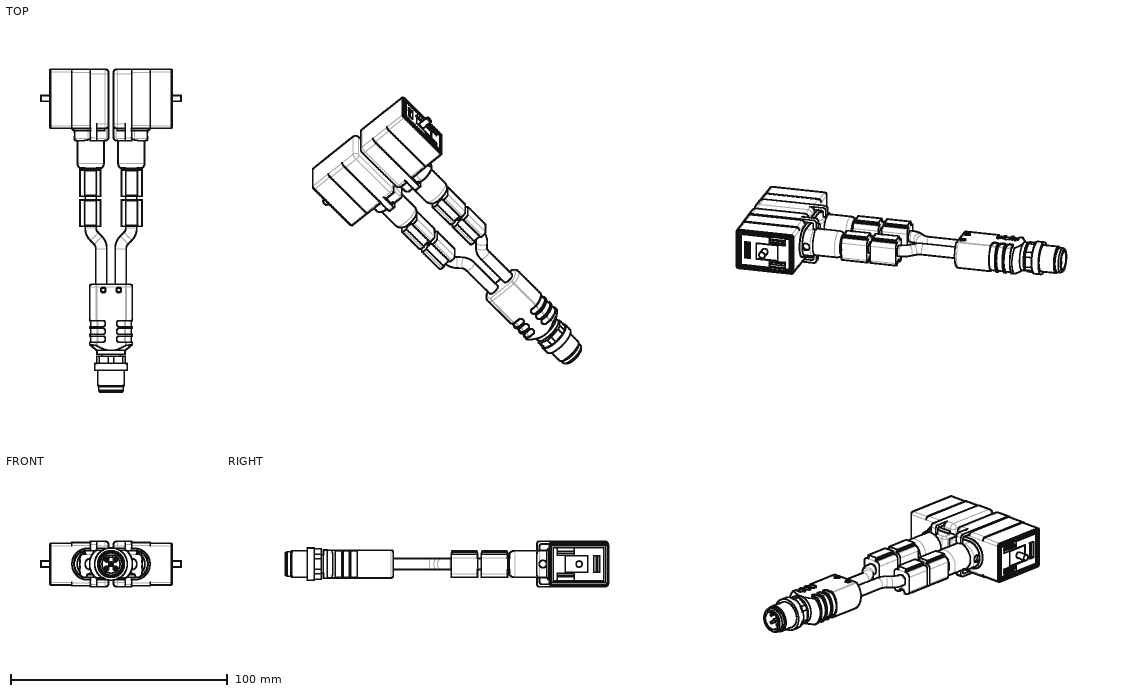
import cadquery as cq
import math


total_length = 149.0
total_width = 64.6
total_height = 21.1

plug_outer_x = -28.1
plug_inner_x = -1.0
mid_section_x = -18.2
flange_x = -9.5
end_section_height = 19.4
mid_section_height = 20.1
housing_front_y = 121.5
end_section_round = 1.2
mid_section_round = 1.5
inner_section_round = 2.1
inner_face_round = 1.8
face_edge_chamfer = 0.5

branch_x = -9.4
hook_front_y = 115.9
hook_inner_x = -6.5
hook_thickness = 1.3
window_round = 0.9
hook_round = 1.3
collar_x = -10.7
collar_diameter = 12.5
collar_corner_round = 1.8
collar_front_round = 1.0
flare_size = 1.0
flare_edge = 0.1
collar_hole_diameter = 3.5
collar_hole_y = 118.7
collar_hole_depth = 1.3
sleeve_diameter = 12.4
sleeve_front_y = 103.2
sleeve_nose_length = 2.4
sleeve_nose_step = 1.2

pin_diameter = 2.8
pin_y = 135.4
panel_back_y = 146.7
panel_front_y = 123.5
panel_height = 15.2
gasket_width = 0.9
gasket_depth = 0.5
square_back_y = 139.4
square_front_y = 129.0
square_height = 7.7
square_depth = 0.6
slot_depth = 1.8
contact_drop = 0.5
ground_slot_y = 143.6
ground_slot_width = 2.7
ground_contact_width = 0.7
side_slot_back_y = 133.2
side_slot_front_y = 125.4
side_slot_inner_z = 4.2
side_slot_outer_z = 7.6
side_contact_inner_z = 5.0
side_contact_outer_z = 6.0

clip_x = -9.5
clip_width = 9.5
clip_height = 12.4
clip_length = 12.2
clip_front_ys = (90.3, 76.4)
clip_shoulder_z = 4.6
clip_shoulder_round = 1.8
clip_cap_width = 5.4
clip_cap_slope = 0.5
clip_groove_depth = 0.5
clip_groove_top_z = 5.4
clip_foot_round = 1.8
clip_mouth_radius = 1.8
clip_mouth_top_z = -4.3

cable_diameter = 5.2
cable_end_x = -4.5
cable_embed = 1.5
bend_start_y = 75.7
bend_radius = 5.5
bend_angle = math.radians(45)

body_width = 19.8
body_height = 13.0
body_flat_width = 13.7
body_back_y = 49.7
body_back_round = 1.2
body_corner_round = 0.6
body_shoulder_y = 21.9
body_front_y = 19.2
neck_diameter = 13.1
neck_front_y = 17.5
grip_top_y = 31.6
grip_pitch = 3.6
grip_count = 3
grip_width = 2.8
grip_depth = 0.5
grip_inner_x = 2.7
grip_corner_round = 1.2
lamp_x = 3.6
lamp_y = 47.0
lamp_hole_diameter = 2.5
lamp_diameter = 2.0
lamp_hole_depth = 0.7
lamp_drop = 0.1

throat_diameter = 8.6
nut_back_y = 16.5
nut_front_y = 13.3
nut_across_flats = 13.3
nut_corner_diameter = 14.1
ring_diameter = 15.0
ring_front_y = 10.0
barrel_diameter = 12.4
barrel_front_y = 3.0
tip_diameter = 11.5
groove_diameter = 10.9
groove_front_y = 2.5
tip_chamfer = 0.6
tip_chamfer_y = 0.9
bore_diameter = 8.3
bore_depth = 7.5
contact_pin_diameter = 1.0
contact_pin_circle_radius = 2.7
contact_pin_tip_y = 1.5
contact_pin_count = 4
pin_foot_diameter = 2.0
pin_foot_height = 0.7
key_width = 1.5
key_height = 1.0
key_root = 0.5
key_tip_y = 0.5


def block(x0, x1, y0, y1, z0, z1):
    """Box between two opposite corners."""
    return cq.Workplane("XY").box(x1 - x0, y1 - y0, z1 - z0, centered=False).translate((x0, y0, z0))


def flat_block(x0, x1, y0, y1, height):
    """Box centred on z = 0."""
    return block(x0, x1, y0, y1, -height / 2, height / 2)


def rod(diameter, y0, y1, x=0.0, z=0.0):
    """Cylinder along Y."""
    return cq.Workplane("XZ", origin=(x, y1, z)).circle(diameter / 2).extrude(y1 - y0)


def both_sides_z(shape):
    """Shape joined with its mirror image below z = 0."""
    return shape.union(shape.mirror("XY"))


def make_housing():
    outer = flat_block(plug_outer_x, mid_section_x, housing_front_y, total_length, end_section_height)
    outer = outer.edges("|X").fillet(end_section_round).faces("<X").chamfer(face_edge_chamfer)
    middle = flat_block(mid_section_x, flange_x, housing_front_y, total_length, mid_section_height)
    middle = middle.edges("|X").fillet(mid_section_round)
    inner = flat_block(flange_x, plug_inner_x, housing_front_y, total_length, total_height)
    inner = inner.edges("|X").fillet(inner_section_round)
    inner = inner.faces(">X").edges().fillet(inner_face_round)
    return outer.union(middle).union(inner)


def make_hooks():
    """Two L-shaped hooks that reach forward from the housing and down to the collar block."""
    top_z = total_height / 2
    collar_z = collar_diameter / 2
    root_y = housing_front_y + 2 * inner_section_round
    hook = block(flange_x, hook_inner_x, hook_front_y, root_y, collar_z - hook_thickness, top_z)
    hook = hook.edges("|X and >Z and <Y").fillet(hook_round)
    window = block(
        flange_x, hook_inner_x, hook_front_y + hook_thickness, housing_front_y,
        collar_z, top_z - hook_thickness,
    )
    window = window.edges("|X and >Z and <Y").fillet(window_round)
    return both_sides_z(hook.cut(window))


def collar_prism(diameter, y0, y1):
    """Block along Y with a half-round outer side and a square inner side."""
    round_side = rod(diameter, y0, y1, collar_x)
    return round_side.union(flat_block(collar_x, plug_inner_x, y0, y1, diameter))


def make_collar():
    """Collar in front of the housing, flaring out at its root, with a round hole in its outer side."""
    root_y = housing_front_y + inner_section_round
    collar = collar_prism(collar_diameter, hook_front_y, root_y)
    collar = collar.edges("|Z and <Y and >X").fillet(collar_corner_round)
    collar = collar.faces("<Y").edges().fillet(collar_front_round)
    flare = collar_prism(collar_diameter + 2 * flare_size, housing_front_y - flare_size, housing_front_y)
    flare = flare.cut(
        flat_block(plug_inner_x - inner_face_round, 0, hook_front_y, root_y, total_height)
    )
    ramp = flare_size - flare_edge
    flare = flare.faces("<Y").edges("not(>X)").chamfer(ramp)
    hole = (
        cq.Workplane("YZ", origin=(collar_x - collar_diameter / 2, collar_hole_y, 0))
        .circle(collar_hole_diameter / 2)
        .extrude(collar_hole_depth)
    )
    return collar.union(flare).cut(hole)


def make_sleeve():
    """Sleeve with a round nose that meets the end face at an angle."""
    radius = sleeve_diameter / 2
    return (
        cq.Workplane("XY")
        .moveTo(0, housing_front_y)
        .lineTo(radius, housing_front_y)
        .lineTo(radius, sleeve_front_y + sleeve_nose_length)
        .tangentArcPoint((radius - sleeve_nose_step, sleeve_front_y), relative=False)
        .lineTo(0, sleeve_front_y)
        .close()
        .revolve(360, (0, 0, 0), (0, 1, 0))
        .translate((branch_x, 0, 0))
    )


def recess(y0, y1, z0, z1, depth):
    """Pocket volume sunk into the contact face."""
    return block(plug_outer_x, plug_outer_x + depth, y0, y1, z0, z1)


def contact(y0, y1, z0, z1):
    """Metal strip standing in a slot, just below the contact face."""
    return block(plug_outer_x + contact_drop, plug_outer_x + slot_depth, y0, y1, z0, z1)


def cut_contact_face(plug):
    """Sink the gasket ring, square and slots into the plug, then add the contacts and pin."""
    half_panel = panel_height / 2
    half_square = square_height / 2
    gasket = recess(
        panel_front_y - gasket_width, panel_back_y + gasket_width,
        -half_panel - gasket_width, half_panel + gasket_width, gasket_depth,
    )
    gasket = gasket.cut(recess(panel_front_y, panel_back_y, -half_panel, half_panel, gasket_depth))
    square = recess(square_front_y, square_back_y, -half_square, half_square, square_depth)
    ground_front_y = ground_slot_y - ground_slot_width / 2
    ground_slot = recess(
        ground_front_y, ground_front_y + ground_slot_width, -half_square, half_square, slot_depth
    )
    side_slots = both_sides_z(
        recess(side_slot_front_y, side_slot_back_y, side_slot_inner_z, side_slot_outer_z, slot_depth)
    )
    ground_contact = contact(
        ground_slot_y - ground_contact_width / 2, ground_slot_y + ground_contact_width / 2,
        -half_square, half_square,
    )
    side_contacts = both_sides_z(
        contact(side_slot_front_y, side_slot_back_y, side_contact_inner_z, side_contact_outer_z)
    )
    pin = (
        cq.Workplane("YZ", origin=(-total_width / 2, pin_y, 0))
        .circle(pin_diameter / 2)
        .extrude(total_width / 2 + plug_outer_x + square_depth)
    )
    plug = plug.cut(gasket).cut(square).cut(ground_slot).cut(side_slots)
    return plug.union(ground_contact).union(side_contacts).union(pin)


def make_clip(front_y):
    """Label clip: a block with a narrower, undercut cap on top and a round mouth below."""
    half_height = clip_height / 2
    back_y = front_y + clip_length
    half_width = clip_width / 2
    half_cap = clip_cap_width / 2
    base = block(
        clip_x - half_width, clip_x + half_width, front_y, back_y, -half_height, clip_shoulder_z
    )
    base = base.edges("|Y and >Z").fillet(clip_shoulder_round)
    base = base.edges("|Y and <Z").fillet(clip_foot_round)
    cap = (
        cq.Workplane("YZ", origin=(clip_x - half_cap, 0, 0))
        .moveTo(front_y, clip_shoulder_z)
        .lineTo(front_y + clip_cap_slope, half_height)
        .lineTo(back_y - clip_cap_slope, half_height)
        .lineTo(back_y, clip_shoulder_z)
        .close()
        .extrude(clip_cap_width)
    )
    for edge_x in (clip_x - half_cap, clip_x + half_cap):
        cap = cap.cut(
            block(
                edge_x - clip_groove_depth, edge_x + clip_groove_depth, front_y, back_y,
                clip_shoulder_z, clip_groove_top_z,
            )
        )
    mouth_z = clip_mouth_top_z - clip_mouth_radius
    mouth = rod(2 * clip_mouth_radius, front_y, back_y, clip_x, mouth_z)
    return base.union(cap).cut(mouth)


def make_cable():
    """Cable with two equal and opposite bends joined by a short straight length."""
    bend_dx = bend_radius * (1 - math.cos(bend_angle))
    bend_dy = bend_radius * math.sin(bend_angle)
    straight = (cable_end_x - branch_x - 2 * bend_dx) / math.sin(bend_angle)
    half_dx = bend_radius * (1 - math.cos(bend_angle / 2))
    half_dy = bend_radius * math.sin(bend_angle / 2)
    slant_x = branch_x + bend_dx
    slant_y = bend_start_y - bend_dy
    slant_end_x = cable_end_x - bend_dx
    slant_end_y = slant_y - straight * math.cos(bend_angle)
    end_y = slant_end_y - bend_dy
    path = (
        cq.Workplane("XY")
        .moveTo(branch_x, sleeve_front_y + sleeve_nose_length)
        .lineTo(branch_x, bend_start_y)
        .threePointArc((branch_x + half_dx, bend_start_y - half_dy), (slant_x, slant_y))
        .lineTo(slant_end_x, slant_end_y)
        .threePointArc((cable_end_x - half_dx, end_y + half_dy), (cable_end_x, end_y))
        .lineTo(cable_end_x, body_back_y - cable_embed)
    )
    start = cq.Workplane("XZ", origin=(branch_x, sleeve_front_y + sleeve_nose_length, 0))
    return start.circle(cable_diameter / 2).sweep(path)


def make_branch():
    plug = make_housing().union(make_hooks()).union(make_collar()).union(make_sleeve())
    branch = cut_contact_face(plug).union(make_cable())
    for front_y in clip_front_ys:
        branch = branch.union(make_clip(front_y))
    return branch


def body_prism(inset):
    """Body cross-section, flat on top and bottom with bowed sides, shrunk by inset."""
    half_width = body_width / 2 - inset
    half_flat = body_flat_width / 2 - inset
    half_height = body_height / 2 - inset
    prism = (
        cq.Workplane("XZ", origin=(0, body_back_y, 0))
        .moveTo(-half_flat, half_height)
        .lineTo(half_flat, half_height)
        .threePointArc((half_width, 0), (half_flat, -half_height))
        .lineTo(-half_flat, -half_height)
        .threePointArc((-half_width, 0), (-half_flat, half_height))
        .close()
        .extrude(body_back_y - body_front_y)
    )
    return prism.edges("|Y").fillet(body_corner_round)


def make_grips():
    """Shallow grip recesses wrapping around both sides of the body."""
    length = body_width / 2
    grips = None
    for index in range(grip_count):
        y = grip_top_y - index * grip_pitch
        right = flat_block(
            grip_inner_x, grip_inner_x + length, y - grip_width / 2, y + grip_width / 2, total_height
        )
        right = right.edges("|Z and <X").fillet(grip_corner_round)
        pair = right.union(right.mirror("YZ"))
        grips = pair if grips is None else grips.union(pair)
    return grips.cut(body_prism(grip_depth))


def make_body():
    body = body_prism(0).faces(">Y").edges().fillet(body_back_round)
    turned_outline = (
        cq.Workplane("XY")
        .moveTo(0, body_back_y)
        .lineTo(body_width, body_back_y)
        .lineTo(body_width, body_shoulder_y)
        .lineTo(body_width / 2, body_shoulder_y)
        .lineTo(neck_diameter / 2, body_front_y)
        .lineTo(0, body_front_y)
        .close()
        .revolve(360, (0, 0, 0), (0, 1, 0))
    )
    body = body.intersect(turned_outline).cut(make_grips())
    top_z = body_height / 2
    lamp_places = [(-lamp_x, lamp_y), (lamp_x, lamp_y)]
    floor = cq.Workplane("XY", origin=(0, 0, top_z - lamp_hole_depth)).pushPoints(lamp_places)
    holes = floor.circle(lamp_hole_diameter / 2).extrude(lamp_hole_depth)
    lamps = floor.circle(lamp_diameter / 2).extrude(lamp_hole_depth - lamp_drop)
    neck = rod(neck_diameter, neck_front_y, body_front_y)
    return body.cut(holes).union(lamps).union(neck)


def make_nut():
    """Hexagon nut with its corners turned round."""
    hexagon_diameter = nut_across_flats / math.cos(math.pi / 6)
    nut = (
        cq.Workplane("XZ", origin=(0, nut_back_y, 0))
        .transformed(rotate=(0, 0, 90))
        .polygon(6, hexagon_diameter)
        .extrude(nut_back_y - nut_front_y)
    )
    return nut.intersect(rod(nut_corner_diameter, nut_front_y, nut_back_y))


def make_contact_pin(x, z):
    """Contact pin standing on a wider foot on the floor of the bore."""
    pin = rod(contact_pin_diameter, contact_pin_tip_y, bore_depth, x, z)
    return pin.union(rod(pin_foot_diameter, bore_depth - pin_foot_height, bore_depth, x, z))


def make_contact_pins():
    pins = make_contact_pin(0, 0)
    for index in range(contact_pin_count):
        angle = math.pi / 4 + index * 2 * math.pi / contact_pin_count
        x = contact_pin_circle_radius * math.cos(angle)
        z = contact_pin_circle_radius * math.sin(angle)
        pins = pins.union(make_contact_pin(x, z))
    return pins


def make_round_connector():
    connector = rod(throat_diameter, nut_back_y, neck_front_y).union(make_nut())
    connector = connector.union(rod(ring_diameter, ring_front_y, nut_front_y))
    connector = connector.union(rod(barrel_diameter, barrel_front_y, ring_front_y))
    connector = connector.union(rod(groove_diameter, groove_front_y, barrel_front_y))
    tip = rod(tip_diameter, 0, groove_front_y).faces("<Y").edges().chamfer(tip_chamfer_y, tip_chamfer)
    connector = connector.union(tip).cut(rod(bore_diameter, 0, bore_depth))
    bore_radius = bore_diameter / 2
    key = block(
        -key_width / 2, key_width / 2, key_tip_y, bore_depth,
        bore_radius - key_height, bore_radius + key_root,
    )
    return connector.union(key).union(make_contact_pins())


branch = make_branch()
result = branch.union(branch.mirror("YZ")).union(make_body()).union(make_round_connector())